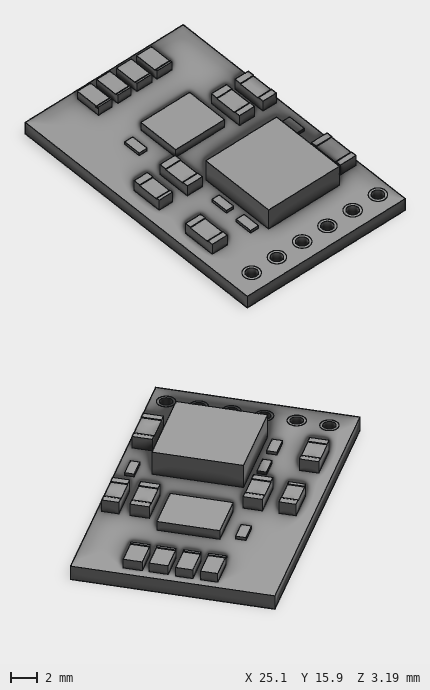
import cadquery as cq

board_length = 25.15
board_width = 15.9
board_thickness = 1.2

hole_count = 6
hole_pitch = 2.55
hole_row_x = 23.46
first_hole_y = 1.94
hole_diameter = 1.0
pad_diameter = 1.45
pad_height = 0.013

inductor_height = 1.99
chip_height = 0.78
resistor_height = 0.25
capacitor_body_height = 0.95
capacitor_terminal_height = 1.03
led_body_height = 0.78
led_lip_height = 0.08

inductor_x = 13.65
inductor_y = 6.04
inductor_side = 7.12

chip_x = 6.4
chip_y = 5.95
chip_length = 3.95
chip_width = 4.9

resistors = [
    (12.95, 14.35, 1.69, 0.73),
    (15.75, 4.8, 1.63, 0.73),
    (18.55, 4.73, 1.63, 0.8),
    (6.75, 4.02, 1.63, 0.8),
]

capacitors = [
    (7.8, 14.18, 3.17, 1.33, 0.6, 0.55),
    (7.8, 11.82, 3.17, 1.5, 0.6, 0.55),
    (16.72, 13.93, 3.27, 1.58, 0.53, 0.53),
    (10.95, 3.85, 3.1, 1.5, 0.63, 0.55),
    (10.95, 1.23, 2.85, 1.33, 0.63, 0.3),
    (16.98, 1.05, 3.02, 1.5, 0.53, 0.53),
]

led_end_x = 3.1
led_lip_length = 0.2
leds = [
    (0.78, 10.51, 1.48, 0),
    (0.78, 8.5, 1.48, 0),
    (0.7, 6.56, 1.33, 0),
    (0.7, 4.63, 1.33, 0.1),
]


def block_on_board(x, y, length, width, height, lift=0):
    """Box with its minimum corner at (x, y), raised by lift above the top face of the board."""
    block = cq.Workplane("XY").box(length, width, height, centered=False)
    return block.translate((x, y, board_thickness + lift))


def capacitor(x, y, length, width, left_terminal, right_terminal):
    """Body with a slightly taller terminal at each end."""
    right_x = x + length - right_terminal
    body = block_on_board(x, y, length, width, capacitor_body_height)
    left = block_on_board(x, y, left_terminal, width, capacitor_terminal_height)
    right = block_on_board(right_x, y, right_terminal, width, capacitor_terminal_height)
    return body.union(left).union(right)


def led(x, y, width, lip_overhang):
    """Body with a thin lip on top along its +X end, which may overhang the -Y side."""
    body = block_on_board(x, y, led_end_x - x, width, led_body_height)
    lip_x = led_end_x - led_lip_length
    lip_y = y - lip_overhang
    lip_width = width + lip_overhang
    lip = block_on_board(lip_x, lip_y, led_lip_length, lip_width, led_lip_height, led_body_height)
    return body.union(lip)


result = cq.Workplane("XY").box(board_length, board_width, board_thickness, centered=False)

result = result.union(
    block_on_board(inductor_x, inductor_y, inductor_side, inductor_side, inductor_height)
)
result = result.union(block_on_board(chip_x, chip_y, chip_length, chip_width, chip_height))

for x, y, length, width in resistors:
    result = result.union(block_on_board(x, y, length, width, resistor_height))
for capacitor_size in capacitors:
    result = result.union(capacitor(*capacitor_size))
for led_size in leds:
    result = result.union(led(*led_size))

hole_centers = [(hole_row_x, first_hole_y + i * hole_pitch) for i in range(hole_count)]
pads = (
    cq.Workplane("XY")
    .workplane(offset=board_thickness)
    .pushPoints(hole_centers)
    .circle(pad_diameter / 2)
    .extrude(pad_height)
)
holes = (
    cq.Workplane("XY")
    .pushPoints(hole_centers)
    .circle(hole_diameter / 2)
    .extrude(board_thickness + pad_height)
)
result = result.union(pads).cut(holes)